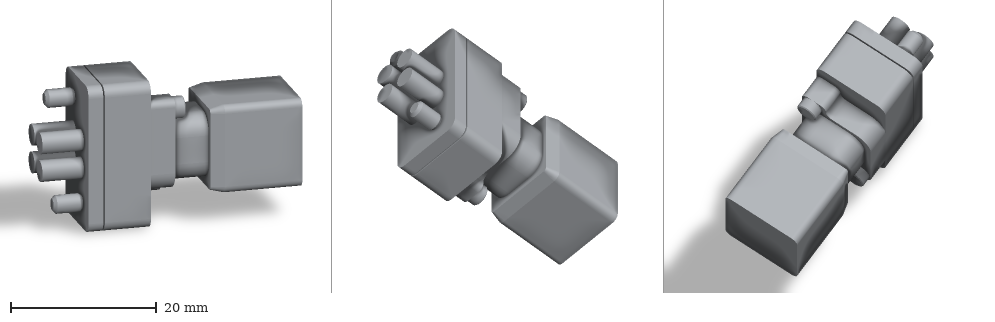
import cadquery as cq


plate_front = 5.9
plate_back = 8.02
body_front = 8.25
body_back = 14.8
adapter_back = 18.3
head_front = 23.35
head_taper_start = 25.3
head_back = 36.3

flange_width = 11.5
flange_height = 21.0
flange_radius = 1.5

head_width = 12.0
head_height = 12.65
head_radius = 1.05
head_taper_angle = 15.0

neck_size = 9.33
neck_radius = 2.75

adapter_width = 11.47
adapter_height = 15.45
adapter_small_radius = 1.0
adapter_big_radius = 2.65
shoulder_z = 5.4
ear_side_x = 1.75

screw_diameter = 3.1
screw_height = 1.55
screw_chamfer = 0.15
screw_x = 4.0

cable_diameter = 3.0
cable_pitch = 4.0

pin_x = cable_pitch / 2
pin_z = 7.0
pin_diameter = 2.58
pin_neck_diameter = 2.15
pin_tip_diameter = 1.67
pin_tip_y = 1.78
pin_tip_chamfer = 0.45
pin_neck_length = 0.07
pin_cone_length = 0.33

overlap = 0.35


def plane_at(y):
    """XZ workplane at y; extrusions from it run toward -Y."""
    return cq.Workplane("XZ", origin=(0, y, 0))


def rounded_block(width, height, radius, y_front, y_back):
    block = plane_at(y_back).rect(width, height).extrude(y_back - y_front)
    return block.edges("|Y").fillet(radius)


def make_head():
    straight = rounded_block(head_width, head_height, head_radius, head_taper_start, head_back)
    taper_length = head_taper_start - head_front
    return straight.faces("<Y").wires().toPending().workplane().extrude(taper_length, taper=head_taper_angle)


def make_adapter():
    """Block with an S-shaped outline that looks the same when turned by 180 degrees about Y."""
    side_x = adapter_width / 2
    top_z = adapter_height / 2
    half_corners = [
        (-side_x, shoulder_z, adapter_big_radius),
        (ear_side_x, shoulder_z, adapter_small_radius),
        (ear_side_x, top_z, adapter_small_radius),
        (side_x, top_z, adapter_small_radius),
    ]
    corners = half_corners + [(-x, -z, radius) for x, z, radius in half_corners]

    sharp_outline = [(x, z) for x, z, radius in corners]
    block = plane_at(adapter_back).polyline(sharp_outline).close().extrude(adapter_back - body_back)
    middle_y = (adapter_back + body_back) / 2
    for x, z, radius in corners:
        corner_edge = cq.selectors.NearestToPointSelector((x, middle_y, z))
        block = block.edges(corner_edge).fillet(radius)
    return block


def make_screw_heads():
    screw_z = adapter_height / 2 - screw_diameter / 2
    heads = plane_at(adapter_back + screw_height)
    heads = heads.pushPoints([(screw_x, screw_z), (-screw_x, -screw_z)])
    heads = heads.circle(screw_diameter / 2).extrude(screw_height + overlap)
    return heads.faces(">Y").edges().chamfer(screw_chamfer)


def make_cables():
    cables = plane_at(body_front + overlap).rarray(cable_pitch, cable_pitch, 2, 2)
    return cables.circle(cable_diameter / 2).extrude(body_front + overlap)


def make_pin(x, z):
    """Turned pin: thin neck through the plate, cone up to full diameter, chamfered tip."""
    radius = pin_diameter / 2
    shaft_radius = pin_neck_diameter / 2
    tip_radius = pin_tip_diameter / 2
    neck_end = plate_front - pin_neck_length
    profile = [
        (0, pin_tip_y),
        (tip_radius, pin_tip_y),
        (radius, pin_tip_y + pin_tip_chamfer),
        (radius, neck_end - pin_cone_length),
        (shaft_radius, neck_end),
        (shaft_radius, body_front + overlap),
        (0, body_front + overlap),
    ]
    pin = cq.Workplane("XY").polyline(profile).close().revolve(360, (0, 0, 0), (0, 1, 0))
    return pin.translate((x, 0, z))


result = rounded_block(flange_width, flange_height, flange_radius, plate_front, plate_back)
result = result.union(make_cables())
for side in (1, -1):
    result = result.union(make_pin(-side * pin_x, side * pin_z))
result = result.union(rounded_block(flange_width, flange_height, flange_radius, body_front, body_back))
result = result.union(make_adapter())
result = result.union(make_screw_heads())
result = result.union(rounded_block(neck_size, neck_size, neck_radius, adapter_back, head_front))
result = result.union(make_head())